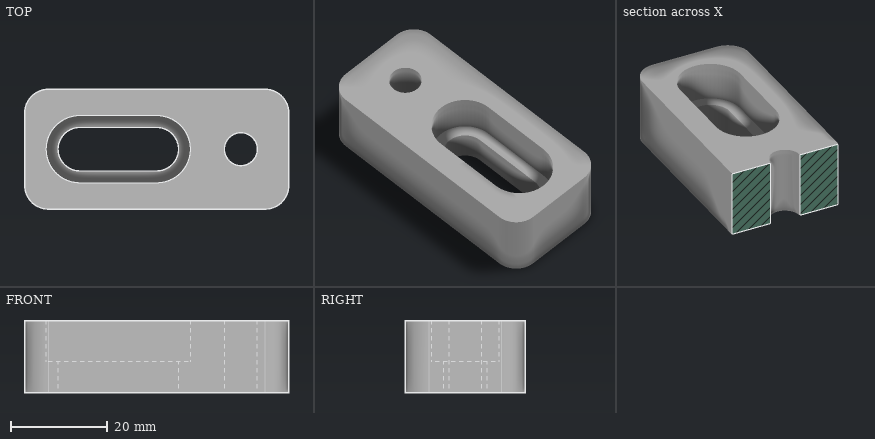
import cadquery as cq

LENGTH = 55.0
WIDTH = 25.0
HEIGHT = 15.0
CORNER_RADIUS = 5.0

SLOT_LENGTH = 25.0
SLOT_WIDTH = 9.0
LEDGE_WIDTH = 2.5
RECESS_DEPTH = 8.5
SLOT_END_WALL = 7.0

HOLE_DIAMETER = 6.8
HOLE_END_DISTANCE = 10.0

recess_length = SLOT_LENGTH + 2 * LEDGE_WIDTH
recess_width = SLOT_WIDTH + 2 * LEDGE_WIDTH
slot_x = -LENGTH / 2 + SLOT_END_WALL + SLOT_LENGTH / 2
hole_x = LENGTH / 2 - HOLE_END_DISTANCE


def make_block():
    """Rectangular block with rounded vertical corners."""
    block = cq.Workplane("XY").box(LENGTH, WIDTH, HEIGHT, centered=(True, True, False))
    return block.edges("|Z").fillet(CORNER_RADIUS)


def slot_cutter(length, width, depth):
    """Round-ended slot reaching down from the top face at the slot position."""
    top_plane = cq.Workplane("XY", origin=(slot_x, 0, HEIGHT))
    return top_plane.slot2D(length, width).extrude(-depth)


def hole_cutter():
    """Round cutter through the full height of the block."""
    return cq.Workplane("XY").center(hole_x, 0).circle(HOLE_DIAMETER / 2).extrude(HEIGHT)


result = make_block()
result = result.cut(slot_cutter(recess_length, recess_width, RECESS_DEPTH))
result = result.cut(slot_cutter(SLOT_LENGTH, SLOT_WIDTH, HEIGHT))
result = result.cut(hole_cutter())